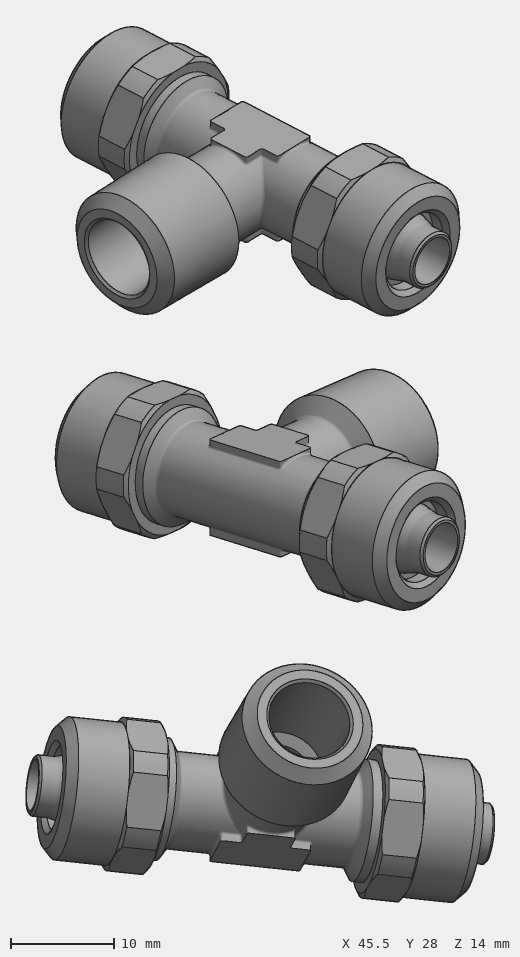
import cadquery as cq
import math

overall_length = 45.5
tube_radius = 3.0
tube_end_chamfer = 0.25
run_bore_radius = 2.5

nut_radius = 7.0
nut_face_x = 20.85
nut_chamfer = 1.0
hex_outer_x = 14.75
hex_inner_x = 10.8
hex_flats = 2 * nut_radius
hex_corner_radius = 7.5
hex_bevel_length = 0.27
hex_bevel_depth = 0.45

recess_radius = 4.1
recess_mouth_chamfer = 0.5
recess_depth = 1.8
recess_floor_x = nut_face_x - recess_depth
shoulder_radius = 3.5

collar_radius = 6.0
collar_edge_x = 9.85

neck_radius = 4.8
neck_end = 9.0
blend_radius = 0.3

overall_depth = 28.0
branch_length = overall_depth - hex_corner_radius
taper_start = 10.25
taper_start_radius = 6.65
taper_end = 19.3
taper_end_radius = 6.5
branch_tip_radius = 5.3

branch_bore_radius = 4.05
branch_bore_chamfer = 0.27
branch_bore_end = neck_end
pilot_radius = 2.95
pilot_end_y = 2.55
drill_point_angle = 118
drill_half_angle = math.radians(drill_point_angle / 2)

pad_half_width = 4.5
pad_half_depth = 2.35
pad_stem_half_width = 2.4
pad_stem_y = -4.6
pad_height = 5.0
pad_corner_radius = 0.25
pad_foot_radius = 0.27

pad_foot_low = 3.85
pad_foot_margin = 0.025


def turned_x(points):
    """Revolve an (x, radius) profile about the X axis."""
    return cq.Workplane("XY").polyline(points).close().revolve(360, (0, 0, 0), (1, 0, 0))


def turned_y(points):
    """Revolve a (radius, y) profile about the Y axis."""
    return cq.Workplane("XY").polyline(points).close().revolve(360, (0, 0, 0), (0, 1, 0))


def both_ends(half):
    """Add the mirror image of a half on the -X side."""
    return half.union(half.mirror("YZ"))


def make_run():
    half = turned_x([
        (0, 0),
        (0, neck_radius),
        (neck_end, neck_radius),
        (collar_edge_x, collar_radius),
        (hex_inner_x, collar_radius),
        (hex_inner_x, 0),
    ])
    return both_ends(half)


def make_branch():
    return turned_y([
        (0, 0),
        (neck_radius, 0),
        (neck_radius, -neck_end),
        (taper_start_radius, -taper_start),
        (taper_end_radius, -taper_end),
        (branch_tip_radius, -branch_length),
        (0, -branch_length),
    ])


def make_pads():
    outline = [
        (-pad_half_width, pad_half_depth),
        (pad_half_width, pad_half_depth),
        (pad_half_width, -pad_half_depth),
        (pad_stem_half_width, -pad_half_depth),
        (pad_stem_half_width, pad_stem_y),
        (-pad_stem_half_width, pad_stem_y),
        (-pad_stem_half_width, -pad_half_depth),
        (-pad_half_width, -pad_half_depth),
    ]
    pads = cq.Workplane("XY").polyline(outline).close().extrude(pad_height, both=True)
    return pads.edges("|Z").fillet(pad_corner_radius)


def make_nut():
    barrel = turned_x([
        (hex_outer_x, 0),
        (hex_outer_x, nut_radius),
        (nut_face_x - nut_chamfer, nut_radius),
        (nut_face_x, nut_radius - nut_chamfer),
        (nut_face_x, 0),
    ])
    hexagon = (
        cq.Workplane("YZ", origin=(hex_inner_x, 0, 0))
        .polygon(6, hex_flats / math.cos(math.pi / 6))
        .extrude(hex_outer_x - hex_inner_x)
    )
    bevel_radius = hex_corner_radius - hex_bevel_depth
    hex_envelope = turned_x([
        (hex_inner_x, 0),
        (hex_inner_x, bevel_radius),
        (hex_inner_x + hex_bevel_length, hex_corner_radius),
        (hex_outer_x - hex_bevel_length, hex_corner_radius),
        (hex_outer_x, bevel_radius),
        (hex_outer_x, 0),
    ])
    recess = turned_x([
        (recess_floor_x, 0),
        (recess_floor_x, recess_radius),
        (nut_face_x - recess_mouth_chamfer, recess_radius),
        (nut_face_x, recess_radius + recess_mouth_chamfer),
        (nut_face_x, 0),
    ])
    return barrel.union(hexagon.intersect(hex_envelope)).cut(recess)


def make_tube():
    end_x = overall_length / 2
    return turned_x([
        (hex_outer_x, 0),
        (hex_outer_x, shoulder_radius),
        (recess_floor_x, shoulder_radius),
        (nut_face_x, tube_radius),
        (end_x - tube_end_chamfer, tube_radius),
        (end_x, tube_radius - tube_end_chamfer),
        (end_x, 0),
    ])


def make_branch_bore():
    """Stepped blind bore with drill-point cones; the pilot crosses the run bore."""
    step_cone = (branch_bore_radius - pilot_radius) / math.tan(drill_half_angle)
    tip_cone = pilot_radius / math.tan(drill_half_angle)
    return turned_y([
        (0, -branch_length),
        (branch_bore_radius + branch_bore_chamfer, -branch_length),
        (branch_bore_radius, -branch_length + branch_bore_chamfer),
        (branch_bore_radius, -branch_bore_end),
        (pilot_radius, -branch_bore_end + step_cone),
        (pilot_radius, pilot_end_y),
        (0, pilot_end_y + tip_cone),
    ])


def make_body():
    """Join run, branch and pads, and blend the concave corners between them."""
    tee = make_run().union(make_branch())
    reach = neck_end + blend_radius
    neck_zone = cq.selectors.BoxSelector((-reach, -reach, -reach), (reach, reach, reach))
    tee = tee.edges("%CIRCLE").edges(neck_zone).fillet(blend_radius)
    tee = tee.edges("%ELLIPSE").fillet(blend_radius)

    foot_high = pad_height - pad_foot_margin
    side = pad_half_width + pad_foot_margin
    back = pad_half_depth + pad_foot_margin
    front = pad_stem_y - pad_foot_margin
    upper_foot = cq.selectors.BoxSelector((-side, front, pad_foot_low), (side, back, foot_high))
    lower_foot = cq.selectors.BoxSelector((-side, front, -foot_high), (side, back, -pad_foot_low))
    tee = tee.union(make_pads())
    return tee.edges(upper_foot + lower_foot).edges("not |Z").fillet(pad_foot_radius)


run_bore = cq.Workplane("YZ").circle(run_bore_radius).extrude(overall_length / 2, both=True)

result = (
    make_body()
    .union(both_ends(make_nut().union(make_tube())))
    .cut(run_bore)
    .cut(make_branch_bore())
)